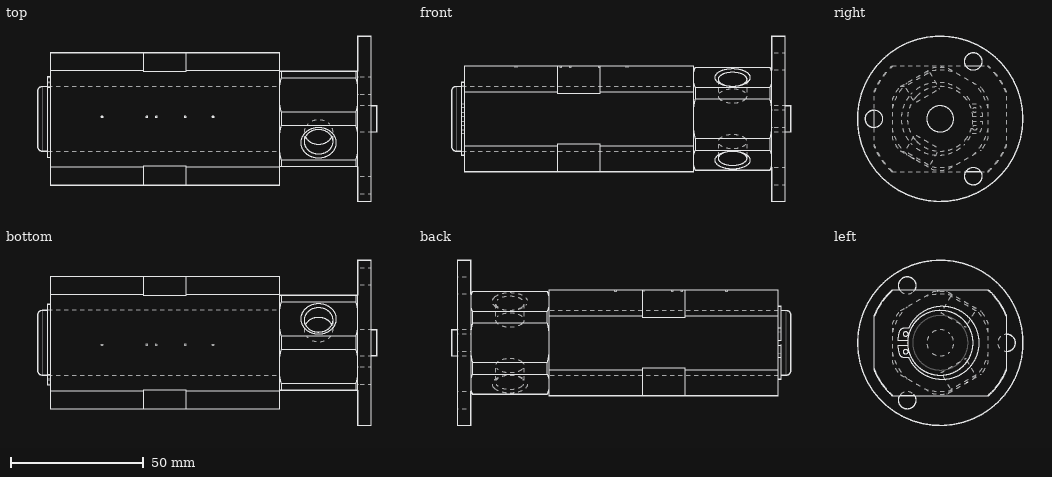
import cadquery as cq
import math

TOTAL_LENGTH = 128.0
FLANGE_THICKNESS = 5.1
PIN_PROTRUSION = 2.2

HOUSING_START = 4.9
HOUSING_LENGTH = 86.4
HOUSING_END = HOUSING_START + HOUSING_LENGTH
HOUSING_WIDTH = 50.0
HOUSING_HEIGHT = 40.0
HOUSING_CORNER_RADIUS = 27.0
BAND_START = 40.0
BAND_LENGTH = 16.0
BAND_RADIUS = 26.8

MARK_STATIONS = (24.3, 41.2, 44.8, 55.7, 66.2)
MARK_OFFSET_Y = 0.8
MARK_DIAMETER = 0.6
MARK_DEPTH = 0.6

STEM_RADIUS = 12.3
STEM_END_ROUNDING = 1.9
HEAD_START = HOUSING_END
HEAD_END = TOTAL_LENGTH - PIN_PROTRUSION - FLANGE_THICKNESS
HEAD_LENGTH = HEAD_END - HEAD_START
HEAD_SIDES = 6
HEAD_ACROSS_FLATS = 36.0
HEAD_CORNER_RADIUS = 19.5
HEAD_CHAMFER_LENGTH = 0.6
HEAD_CHAMFER_DEPTH = 1.0

PORT_RADIUS = 5.4
PORT_MOUTH_RADIUS = 6.7
PORT_MOUTH_DEPTH = 0.8
PORT_DEPTH = 8.0
PORT_TILTS = (60, -60)
PORT_STATION = HEAD_START + HEAD_LENGTH / 2

RING_THICKNESS = 1.2
RING_START = HOUSING_START - RING_THICKNESS
RING_OUTER_RADIUS = 13.8
RING_ECCENTRICITY = 0.8
RING_GAP = 1.9
EAR_REACH = 16.0
EAR_SPAN = 11.1
EAR_ROUNDING = 2.0
EAR_HOLE_DIAMETER = 1.8
EAR_HOLE_Y = 13.0
EAR_HOLE_Z = 3.3

FLANGE_START = HEAD_END
FLANGE_RADIUS = 31.2
BOLT_CIRCLE_RADIUS = 25.0
BOLT_HOLE_DIAMETER = 6.5
BOLT_HOLE_COUNT = 3
FIRST_BOLT_ANGLE = 180
PIN_RADIUS = 5.0


def plane_at(station):
    """Plane across the X axis: local x is +Y, local y is +Z, extrusions go towards +X."""
    return cq.Workplane("YZ", origin=(station, 0, 0))


def disc(start, length, radius):
    return plane_at(start).circle(radius).extrude(length)


def make_housing():
    block = plane_at(HOUSING_START).rect(HOUSING_WIDTH, HOUSING_HEIGHT).extrude(HOUSING_LENGTH)
    housing = block.intersect(disc(HOUSING_START, HOUSING_LENGTH, HOUSING_CORNER_RADIUS))

    band = plane_at(BAND_START).circle(HOUSING_CORNER_RADIUS).circle(BAND_RADIUS).extrude(BAND_LENGTH)
    housing = housing.cut(band)

    marks = (
        cq.Workplane("XY", origin=(0, MARK_OFFSET_Y, HOUSING_HEIGHT / 2))
        .pushPoints([(station, 0) for station in MARK_STATIONS])
        .circle(MARK_DIAMETER / 2)
        .extrude(-MARK_DEPTH)
    )
    bore = disc(HOUSING_START, HOUSING_LENGTH, STEM_RADIUS)
    return housing.cut(marks).cut(bore)


def make_head():
    """Hexagonal head with flats facing +Y and -Y, rounded corners and chamfered ends."""
    half_side_angle = 180 / HEAD_SIDES
    across_corners = HEAD_ACROSS_FLATS / math.cos(math.radians(half_side_angle))
    hexagon = (
        plane_at(HEAD_START)
        .transformed(rotate=(0, 0, half_side_angle))
        .polygon(HEAD_SIDES, across_corners)
        .extrude(HEAD_LENGTH)
    )
    end_radius = HEAD_CORNER_RADIUS - HEAD_CHAMFER_DEPTH
    envelope = (
        cq.Workplane("XY")
        .moveTo(HEAD_START, 0)
        .lineTo(HEAD_START, end_radius)
        .lineTo(HEAD_START + HEAD_CHAMFER_LENGTH, HEAD_CORNER_RADIUS)
        .lineTo(HEAD_END - HEAD_CHAMFER_LENGTH, HEAD_CORNER_RADIUS)
        .lineTo(HEAD_END, end_radius)
        .lineTo(HEAD_END, 0)
        .close()
        .revolve(360, (0, 0, 0), (1, 0, 0))
    )
    return hexagon.intersect(envelope)


def make_port(tilt):
    """Cutter for one port: a flat-bottomed bore with a countersunk mouth."""
    face_distance = HEAD_ACROSS_FLATS / 2
    floor_distance = face_distance - PORT_DEPTH
    mouth_distance = face_distance - PORT_MOUTH_DEPTH
    profile = (
        cq.Workplane("XY")
        .moveTo(0, -floor_distance)
        .lineTo(PORT_RADIUS, -floor_distance)
        .lineTo(PORT_RADIUS, -mouth_distance)
        .lineTo(PORT_MOUTH_RADIUS, -face_distance)
        .lineTo(0, -face_distance)
        .close()
    )
    port = profile.revolve(360, (0, 0, 0), (0, 1, 0))
    return port.rotate((0, 0, 0), (1, 0, 0), -tilt).translate((PORT_STATION, 0, 0))


def make_rotor():
    stem = disc(0, HEAD_START, STEM_RADIUS).faces("<X").edges().fillet(STEM_END_ROUNDING)
    rotor = stem.union(make_head())
    for tilt in PORT_TILTS:
        rotor = rotor.cut(make_port(tilt))
    return rotor


def make_retaining_ring():
    ring = disc(RING_START, RING_THICKNESS, RING_OUTER_RADIUS).translate((0, -RING_ECCENTRICITY, 0))
    ears = (
        plane_at(RING_START)
        .center(EAR_REACH / 2, 0)
        .rect(EAR_REACH, EAR_SPAN)
        .extrude(RING_THICKNESS)
        .intersect(disc(RING_START, RING_THICKNESS, EAR_REACH))
        .edges("|X and (not <Y)")
        .fillet(EAR_ROUNDING)
    )
    gap = plane_at(RING_START).center(EAR_REACH / 2, 0).rect(EAR_REACH, RING_GAP).extrude(RING_THICKNESS)
    holes = (
        plane_at(RING_START)
        .pushPoints([(EAR_HOLE_Y, EAR_HOLE_Z), (EAR_HOLE_Y, -EAR_HOLE_Z)])
        .circle(EAR_HOLE_DIAMETER / 2)
        .extrude(RING_THICKNESS)
    )
    bore = disc(RING_START, RING_THICKNESS, STEM_RADIUS)
    return ring.union(ears).cut(bore).cut(gap).cut(holes)


def make_flange():
    bolt_holes = (
        plane_at(FLANGE_START)
        .polarArray(BOLT_CIRCLE_RADIUS, FIRST_BOLT_ANGLE, 360, BOLT_HOLE_COUNT)
        .circle(BOLT_HOLE_DIAMETER / 2)
        .extrude(FLANGE_THICKNESS)
    )
    pin_bore = disc(FLANGE_START, FLANGE_THICKNESS, PIN_RADIUS)
    return disc(FLANGE_START, FLANGE_THICKNESS, FLANGE_RADIUS).cut(bolt_holes).cut(pin_bore)


def make_pin():
    """Pin that fills the flange bore, from the head face to beyond the flange."""
    return disc(FLANGE_START, FLANGE_THICKNESS + PIN_PROTRUSION, PIN_RADIUS)


housing = make_housing()
rotor = make_rotor()
retaining_ring = make_retaining_ring()
flange = make_flange()
pin = make_pin()

result = cq.Compound.makeCompound(
    [housing.val(), rotor.val(), retaining_ring.val(), flange.val(), pin.val()]
)